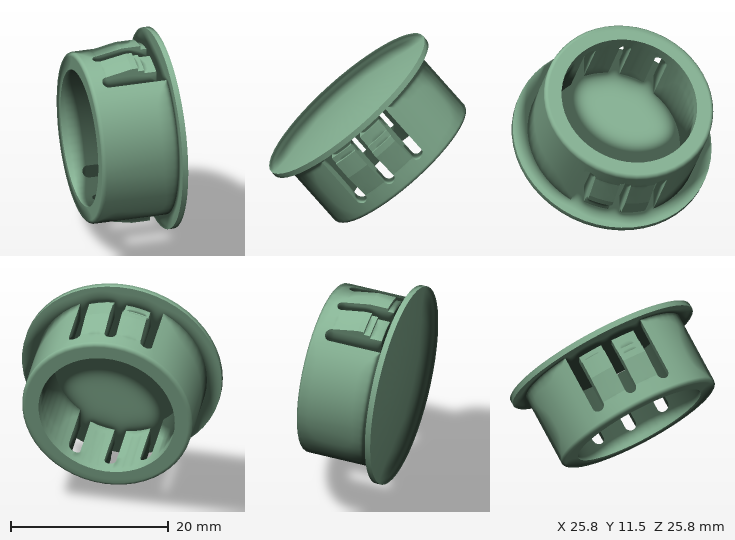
import cadquery as cq

flange_radius = 12.9
flange_thickness = 0.72
dome_height = 0.83
barrel_radius = 11.0
bore_radius = 8.8
barrel_length = 9.95
rim_fillet = 0.5

slot_width = 1.5
tab_width = 3.12
slot_pitch = slot_width + tab_width
window_width = 2 * slot_pitch + slot_width
slot_center_depth = 7.48
tab_tip_depth = 0.93
ramp_start_depth = 4.15
tab_radius = 11.64

single_step = [(1.73, 11.15)]
double_step = [(2.5, 10.9), (3.33, 11.25)]


def revolve_about_y(profile):
    return profile.close().revolve(360, (0, 0), (0, 1))


def make_cap():
    cap_top = flange_thickness + dome_height
    sphere_radius = (flange_radius**2 + dome_height**2) / (2 * dome_height)
    mid_radius = flange_radius / 2
    mid_height = cap_top - sphere_radius + (sphere_radius**2 - mid_radius**2) ** 0.5
    profile = (
        cq.Workplane("XY")
        .lineTo(flange_radius, 0)
        .lineTo(flange_radius, flange_thickness)
        .threePointArc((mid_radius, mid_height), (0, cap_top))
    )
    return revolve_about_y(profile)


def make_barrel():
    barrel = cq.Workplane("XZ").circle(barrel_radius).extrude(barrel_length)
    barrel = barrel.faces("<Y").edges().fillet(rim_fillet)
    bore = cq.Workplane("XZ").circle(bore_radius).extrude(barrel_length)
    return barrel.cut(bore)


def make_windows():
    """Opening through both walls along Z, ending in three round slot ends."""
    cut_height = 2 * flange_radius
    windows = cq.Workplane("XY").box(window_width, slot_center_depth, cut_height)
    windows = windows.translate((0, -slot_center_depth / 2, 0))
    slot_ends = (
        cq.Workplane("XY")
        .pushPoints([(i * slot_pitch, -slot_center_depth) for i in (-1, 0, 1)])
        .circle(slot_width / 2)
        .extrude(cut_height / 2, both=True)
    )
    return windows.union(slot_ends)


def make_tab(steps, x_side, z_side):
    profile = cq.Workplane("XY").moveTo(bore_radius, -tab_tip_depth)
    depth = tab_tip_depth
    for step_end, radius in steps:
        profile = profile.lineTo(radius, -depth).lineTo(radius, -step_end)
        depth = step_end
    profile = (
        profile.lineTo(tab_radius, -depth)
        .lineTo(tab_radius, -ramp_start_depth)
        .lineTo(barrel_radius, -slot_center_depth)
        .lineTo(bore_radius, -slot_center_depth)
    )
    ring = revolve_about_y(profile)
    tab_block = cq.Workplane("XY").box(tab_width, 2 * barrel_length, flange_radius)
    tab_block = tab_block.translate((x_side * slot_pitch / 2, 0, z_side * flange_radius / 2))
    return ring.intersect(tab_block)


result = make_barrel().cut(make_windows()).union(make_cap())
for x_side in (-1, 1):
    for z_side in (-1, 1):
        steps = double_step if x_side == z_side else single_step
        result = result.union(make_tab(steps, x_side, z_side))